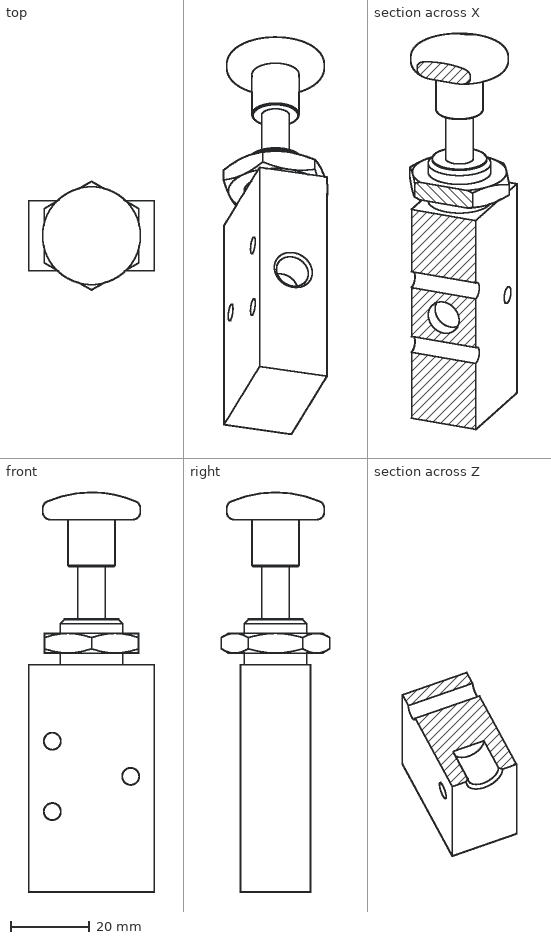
import cadquery as cq
import math

block_width = 32.0
block_depth = 18.0
bottom_cap_height = 7.0
core_height = 45.0
top_cap_height = 6.0
core_middle_z = bottom_cap_height + core_height / 2
block_top_z = bottom_cap_height + core_height + top_cap_height

mount_hole_diameter = 4.3
mount_hole_x = 10.0
mount_hole_rise = 9.0

port_diameter = 8.5
port_mouth_diameter = 10.1
port_depth = 10.2
port_chamfer = (port_mouth_diameter - port_diameter) / 2

neck_radius = 16.0 / 2
lip_radius = 14.0 / 2
neck_chamfer = neck_radius - lip_radius
neck_height = 11.7
lip_height = 0.3
neck_top_z = block_top_z + neck_height

overall_height = 102
rod_radius = 7.1 / 2
hub_radius = 12.0 / 2
hub_height = 11.9
hub_chamfer = 0.3
knob_radius = 25.0 / 2
knob_height = 7.0
knob_fillet = 2
knob_rim_height = 0.8
knob_bottom_z = overall_height - knob_height
hub_bottom_z = knob_bottom_z - hub_height

nut_across_corners = 27.7
nut_across_flats = nut_across_corners * math.cos(math.pi / 6)
nut_height = 5.0
nut_clearance = 3.0
nut_chamfer_angle = math.radians(30)
nut_bottom_z = block_top_z + nut_clearance


def block_slab(bottom_z, height):
    """Full-section slice of the valve block."""
    return (
        cq.Workplane("XY", origin=(0, 0, bottom_z))
        .rect(block_width, block_depth)
        .extrude(height)
    )


def make_block():
    """Core and end caps in one piece, with the mounting holes and the air port."""
    block = block_slab(0, bottom_cap_height)
    block = block.union(block_slab(bottom_cap_height, core_height), clean=False)
    block = block.union(block_slab(bottom_cap_height + core_height, top_cap_height), clean=False)
    hole_places = [
        (-mount_hole_x, core_middle_z - mount_hole_rise),
        (-mount_hole_x, core_middle_z + mount_hole_rise),
        (mount_hole_x, core_middle_z),
    ]
    mount_holes = (
        cq.Workplane("XZ")
        .pushPoints(hole_places)
        .circle(mount_hole_diameter / 2)
        .extrude(block_depth, both=True)
    )
    return block.cut(mount_holes, clean=False).cut(make_port(), clean=False)


def make_port():
    """Blind round port with a chamfered mouth, entering from the -X side."""
    bore_radius = port_diameter / 2
    return (
        cq.Workplane("XY", origin=(-block_width / 2, 0, core_middle_z))
        .lineTo(0, port_mouth_diameter / 2)
        .lineTo(port_chamfer, bore_radius)
        .lineTo(port_depth, bore_radius)
        .lineTo(port_depth, 0)
        .close()
        .revolve(360, (0, 0, 0), (1, 0, 0))
    )


def make_stem():
    """Neck, push rod and domed knob, turned about the Z axis."""
    fillet_center_r = knob_radius - knob_fillet
    lower_fillet_z = knob_bottom_z + knob_fillet
    upper_fillet_z = lower_fillet_z + knob_rim_height
    center_drop = overall_height - upper_fillet_z
    dome_radius = (fillet_center_r**2 + center_drop**2 - knob_fillet**2) / (2 * (center_drop - knob_fillet))
    dome_center_z = overall_height - dome_radius
    dome_edge_angle = math.atan2(fillet_center_r, upper_fillet_z - dome_center_z)

    def arc_point(center_r, center_z, radius, angle):
        """Point on an arc, at an angle measured from +Z toward the outside."""
        return (center_r + radius * math.sin(angle), center_z + radius * math.cos(angle))

    dome_edge = arc_point(0, dome_center_z, dome_radius, dome_edge_angle)
    dome_middle = arc_point(0, dome_center_z, dome_radius, dome_edge_angle / 2)
    upper_fillet_angle = (math.pi / 2 + dome_edge_angle) / 2
    upper_fillet_middle = arc_point(fillet_center_r, upper_fillet_z, knob_fillet, upper_fillet_angle)
    lower_fillet_middle = arc_point(fillet_center_r, lower_fillet_z, knob_fillet, 3 * math.pi / 4)
    lip_bottom_z = neck_top_z - lip_height

    return (
        cq.Workplane("XZ")
        .moveTo(0, block_top_z)
        .lineTo(neck_radius, block_top_z)
        .lineTo(neck_radius, lip_bottom_z - neck_chamfer)
        .lineTo(lip_radius, lip_bottom_z)
        .lineTo(lip_radius, neck_top_z)
        .lineTo(rod_radius, neck_top_z)
        .lineTo(rod_radius, hub_bottom_z)
        .lineTo(hub_radius - hub_chamfer, hub_bottom_z)
        .lineTo(hub_radius, hub_bottom_z + hub_chamfer)
        .lineTo(hub_radius, knob_bottom_z)
        .lineTo(fillet_center_r, knob_bottom_z)
        .threePointArc(lower_fillet_middle, (knob_radius, lower_fillet_z))
        .lineTo(knob_radius, upper_fillet_z)
        .threePointArc(upper_fillet_middle, dome_edge)
        .threePointArc(dome_middle, (0, overall_height))
        .close()
        .revolve(360, (0, 0, 0), (0, 1, 0))
    )


def make_valve():
    """Valve body: the block with its neck, rod and knob."""
    return make_block().union(make_stem(), clean=False)


def make_nut():
    """Hexagon nut with corners on the Y axis, cone-chamfered on both ends."""
    corner_radius = nut_across_corners / 2
    face_radius = nut_across_flats / 2
    chamfer_drop = (corner_radius - face_radius) * math.tan(nut_chamfer_angle)
    hexagon = (
        cq.Workplane("XY", origin=(0, 0, nut_bottom_z))
        .polygon(6, nut_across_corners)
        .extrude(nut_height)
        .rotate((0, 0, 0), (0, 0, 1), 90)
    )
    chamfered_ring = (
        cq.Workplane("XZ", origin=(0, 0, nut_bottom_z))
        .moveTo(neck_radius, 0)
        .lineTo(face_radius, 0)
        .lineTo(corner_radius, chamfer_drop)
        .lineTo(corner_radius, nut_height - chamfer_drop)
        .lineTo(face_radius, nut_height)
        .lineTo(neck_radius, nut_height)
        .close()
        .revolve(360, (0, 0, 0), (0, 1, 0))
    )
    return hexagon.intersect(chamfered_ring)


valve = make_valve()
nut = make_nut()
result = cq.Compound.makeCompound([valve.val(), nut.val()])